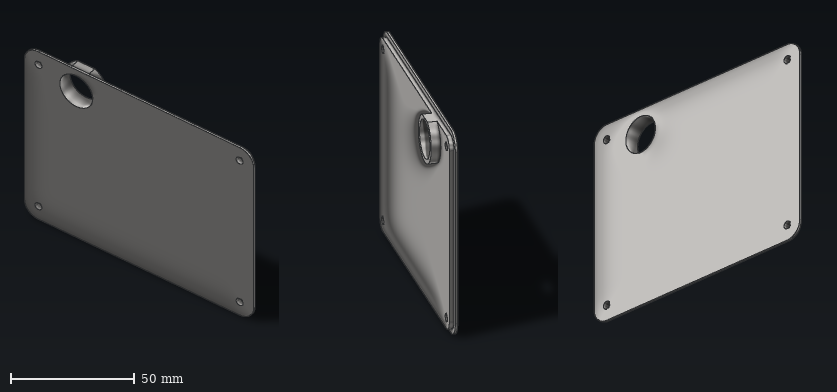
import cadquery as cq

width = 115.0
height = 90.0
flange_thickness = 1.0
corner_radius = 7.0

step_inset = 2.2
step_thickness = 2.0
step_width = width - 2 * step_inset
step_height = height - 2 * step_inset
step_corner_radius = corner_radius - step_inset

total_depth = 7.0
opening_diameter = 16.5
boss_diameter = 20.5
opening_x = -width / 2 + 26.0
opening_z = height / 2 - 11.5

screw_hole_diameter = 3.5
screw_spacing_x = width - 2 * corner_radius
screw_spacing_z = height - 2 * corner_radius


def rounded_plate(plate_width, plate_height, radius, front_y, thickness):
    """Plate with rounded corners, reaching back from front_y."""
    return (
        cq.Workplane("XY")
        .box(plate_width, thickness, plate_height)
        .edges("|Y")
        .fillet(radius)
        .translate((0, front_y + thickness / 2, 0))
    )


def cylinder_along_y(diameter, x, z):
    """Cylinder over the full depth of the part."""
    return cq.Workplane("XZ").center(x, z).circle(diameter / 2).extrude(-total_depth)


flange = rounded_plate(width, height, corner_radius, 0, flange_thickness)
step = rounded_plate(
    step_width, step_height, step_corner_radius, flange_thickness, step_thickness
)

step_envelope = rounded_plate(step_width, step_height, step_corner_radius, 0, total_depth)
boss = cylinder_along_y(boss_diameter, opening_x, opening_z).intersect(step_envelope)

result = flange.union(step).union(boss)
result = result.cut(cylinder_along_y(opening_diameter, opening_x, opening_z))

for side_x in (-1, 1):
    for side_z in (-1, 1):
        hole_x = side_x * screw_spacing_x / 2
        hole_z = side_z * screw_spacing_z / 2
        result = result.cut(cylinder_along_y(screw_hole_diameter, hole_x, hole_z))